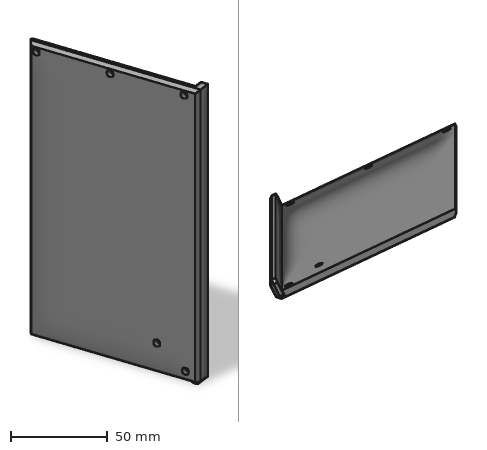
import cadquery as cq

width = 104.0
depth = 11.5
height = 173.4

plate_thickness = 4.0
flange_width = 4.3
bevel = 2.0
flange_overhang = bevel

hole_diameter = 4.0
top_hole_spacing = 45.0
top_hole_inset = 4.9
top_hole_count = 3
lower_holes = [(78.4, 18.4), (95.9, 6.8)]


def bevelled_envelope():
    """Outer block with bevelled front and back rims and a bevelled lower edge on the flange side."""
    block = cq.Workplane("XY").box(width, depth, height, centered=False)
    rim_edges = block.faces("<Y or >Y").edges()
    lower_flange_edge = block.faces("<Z").edges(">X")
    return rim_edges.add(lower_flange_edge).chamfer(bevel)


def space_beside_flange():
    """Everything left of the flange that lies behind or below the plate."""
    clear_width = width - flange_width
    behind = (
        cq.Workplane("XY")
        .box(clear_width, depth - plate_thickness, height, centered=False)
        .translate((0, plate_thickness, 0))
    )
    below = cq.Workplane("XY").box(clear_width, depth, flange_overhang, centered=False)
    return behind.union(below)


def plate_holes():
    """Cylinders for the row along the top edge and the two holes near the bottom."""
    hole_z = height - top_hole_inset
    top_row = [(top_hole_inset + i * top_hole_spacing, hole_z) for i in range(top_hole_count)]
    return (
        cq.Workplane("XZ")
        .pushPoints(top_row + lower_holes)
        .circle(hole_diameter / 2)
        .extrude(-plate_thickness)
    )


result = bevelled_envelope().cut(space_beside_flange()).cut(plate_holes())